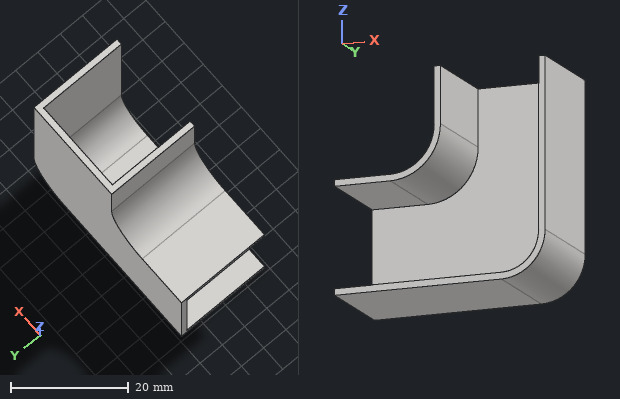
import cadquery as cq

leg_length = 38.7
depth = 18.7
leg_width = 20.4
wall = 1.2
bend_radius = 8.0


def elbow(inset, thickness):
    """Elbow-shaped plate running from Y = 0 toward -Y, its long sides moved inward by inset."""
    outer_side = leg_length - inset
    inner_side = leg_length - leg_width + inset
    outline = (
        cq.Workplane("XZ")
        .moveTo(0, inset)
        .lineTo(outer_side, inset)
        .lineTo(outer_side, leg_length)
        .lineTo(inner_side, leg_length)
        .lineTo(inner_side, leg_length - inner_side)
        .lineTo(0, leg_length - inner_side)
        .close()
    )
    plate = outline.extrude(thickness)
    heel = cq.NearestToPointSelector((outer_side, -thickness / 2, inset))
    inner_bend = cq.NearestToPointSelector((inner_side, -thickness / 2, leg_length - inner_side))
    plate = plate.edges("|Y").edges(heel).fillet(bend_radius - inset)
    return plate.edges("|Y").edges(inner_bend).fillet(bend_radius + inset)


body = elbow(0, depth)
cavity = elbow(wall, depth).translate((0, -wall, 0))
result = body.cut(cavity)